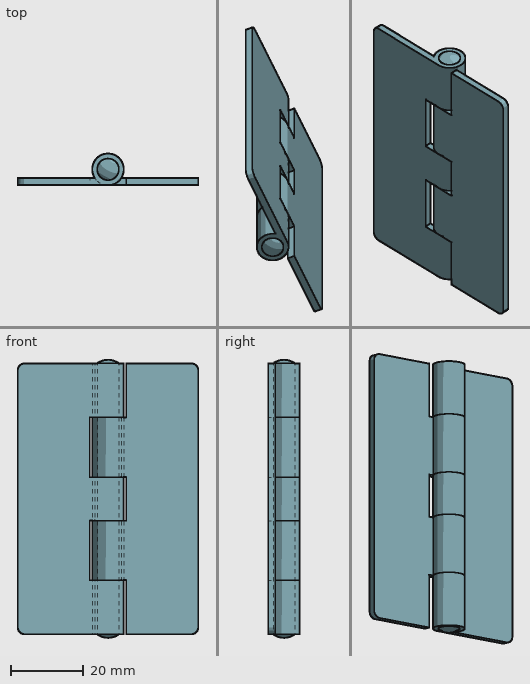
import cadquery as cq


hinge_width = 50.0
leaf_height = 75.0
leaf_thickness = 2.0
corner_radius = 2.0
leaf_reach = hinge_width / 2

barrel_radius = 4.4
pin_radius = 3.0
dome_height = 1.0
leaf_back_y = -barrel_radius
leaf_middle_y = leaf_back_y + leaf_thickness / 2

notch_edge = 5.0
middle_knuckle_length = 12.0
end_knuckle_length = 15.0
half_height = leaf_height / 2
inner_joint_z = middle_knuckle_length / 2
outer_joint_z = half_height - end_knuckle_length

left_knuckles = [
    (-half_height, -outer_joint_z),
    (-inner_joint_z, inner_joint_z),
    (outer_joint_z, half_height),
]
right_knuckles = [
    (-outer_joint_z, -inner_joint_z),
    (inner_joint_z, outer_joint_z),
]


def make_plate(side):
    """Flat part of a leaf, rounded at its two outer corners; side is -1 for left, 1 for right."""
    plate_width = leaf_reach - notch_edge
    plate_center_x = side * (notch_edge + plate_width / 2)
    outer_edges = "<X" if side < 0 else ">X"
    return (
        cq.Workplane("XY")
        .box(plate_width, leaf_thickness, leaf_height)
        .edges("|Y")
        .edges(outer_edges)
        .fillet(corner_radius)
        .translate((plate_center_x, leaf_middle_y, 0))
    )


def make_knuckle(side, bottom_z, top_z):
    """Barrel section with the tang that joins it to the plate."""
    length = top_z - bottom_z
    barrel = cq.Workplane("XY").workplane(offset=bottom_z).circle(barrel_radius).extrude(length)
    tang = (
        cq.Workplane("XY")
        .workplane(offset=bottom_z)
        .center(side * notch_edge / 2, leaf_middle_y)
        .rect(notch_edge, leaf_thickness)
        .extrude(length)
    )
    return barrel.union(tang)


def make_leaf(side, knuckles):
    """One leaf: plate and knuckles, bored through for the pin."""
    leaf = make_plate(side)
    for bottom_z, top_z in knuckles:
        leaf = leaf.union(make_knuckle(side, bottom_z, top_z))
    bore = cq.Workplane("XY").circle(pin_radius).extrude(half_height, both=True)
    return leaf.cut(bore).solids()


def make_pin():
    """Pin as long as the barrel, with a shallow spherical dome on each end."""
    dome_radius = (pin_radius**2 + dome_height**2) / (2 * dome_height)
    tip_z = half_height + dome_height
    dome_center_z = tip_z - dome_radius
    dome_mid_r = pin_radius / 2
    dome_mid_z = dome_center_z + (dome_radius**2 - dome_mid_r**2) ** 0.5
    return (
        cq.Workplane("XZ")
        .moveTo(0, -tip_z)
        .threePointArc((dome_mid_r, -dome_mid_z), (pin_radius, -half_height))
        .lineTo(pin_radius, half_height)
        .threePointArc((dome_mid_r, dome_mid_z), (0, tip_z))
        .close()
        .revolve(360, (0, 0, 0), (0, 1, 0))
    )


left_leaf = make_leaf(-1, left_knuckles)
right_leaf = make_leaf(1, right_knuckles)
pin = make_pin()

result = cq.Compound.makeCompound([left_leaf.val(), right_leaf.val(), pin.val()])